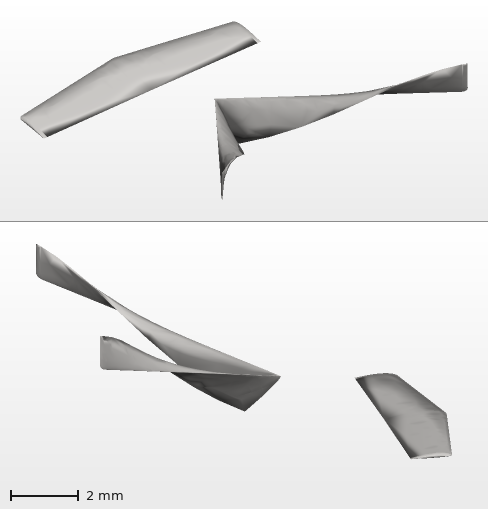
import cadquery as cq
import math

THICKNESS = 0.11
THICKNESS_PEAK = 0.38
CAMBER = 0.02
CAMBER_PEAK = 0.4
SURFACE_STEPS = 12

CAP_STEPS = 5
CAP_END_THICKNESS = 0.2
CAP_NOSE_INSET = 0.14
CAP_WIDTH = 0.13

FRONT_HALF_SPAN = 4.01
FRONT_ROOT_NOSE = (0.0, -0.01)
FRONT_TIP_NOSE = (0.69, -0.01)
FRONT_ROOT_CHORD = 1.9
FRONT_TIP_CHORD = 1.25
FRONT_PITCH = -1.3
FRONT_STEPS = 1

REAR_HALF_SPAN = 4.53
REAR_ROOT_NOSE = (5.02, 1.49)
REAR_TIP_NOSE = (11.45, 3.56)
REAR_ROOT_CHORD = 1.5
REAR_TIP_CHORD = 1.04
REAR_ROOT_PITCH = -43.5
REAR_TIP_PITCH = 90.0
REAR_STEPS = 10


def blend(start, end, fraction):
    return start + (end - start) * fraction


def camber_height(x):
    """Mean line of two parabolas that meet at the camber peak."""
    if x < CAMBER_PEAK:
        return CAMBER * (2 * CAMBER_PEAK * x - x**2) / CAMBER_PEAK**2
    rear_length = 1 - CAMBER_PEAK
    return CAMBER * (1 - 2 * CAMBER_PEAK + 2 * CAMBER_PEAK * x - x**2) / rear_length**2


def half_thickness(x):
    """Round-nosed profile, thickest at the peak station, with a sharp trailing edge."""
    nose_power = THICKNESS_PEAK / (1 - THICKNESS_PEAK)
    peak_value = THICKNESS_PEAK**nose_power * (1 - THICKNESS_PEAK)
    return THICKNESS / 2 * x**nose_power * (1 - x) / peak_value


def airfoil_wire(y, nose, chord, pitch, fullness=1.0, nose_inset=0.0):
    """Airfoil in a plane of constant y, turned about its nose by the pitch angle."""
    angle = math.radians(pitch)
    length = chord - nose_inset

    def point(x, side):
        along = nose_inset + x * length
        height = length * (camber_height(x) + side * fullness * half_thickness(x))
        return cq.Vector(
            nose[0] + along * math.cos(angle) - height * math.sin(angle),
            y,
            nose[1] + along * math.sin(angle) + height * math.cos(angle),
        )

    stations = [(1 - math.cos(math.pi * i / SURFACE_STEPS)) / 2 for i in range(SURFACE_STEPS + 1)]
    upper = [point(x, 1) for x in reversed(stations)]
    lower = [point(x, -1) for x in stations]
    outline = cq.Edge.makeSpline(upper + lower[1:-1] + upper[:1])
    return cq.Wire.assembleEdges([outline])


def half_wing(half_span, noses, chords, pitches, steps):
    """Wing from the middle to the +Y tip, closed by a rounded cap."""
    cap_start = 1 - CAP_WIDTH / half_span

    def section(fraction, **cap_shape):
        nose = [blend(root, tip, fraction) for root, tip in zip(*noses)]
        chord = blend(*chords, fraction)
        pitch = blend(*pitches, fraction)
        return airfoil_wire(half_span * fraction, nose, chord, pitch, **cap_shape)

    def cap_section(step):
        angle = math.pi / 2 * step / CAP_STEPS
        roundness = math.cos(angle)
        return section(
            blend(cap_start, 1, math.sin(angle)),
            fullness=blend(CAP_END_THICKNESS, 1, roundness),
            nose_inset=CAP_NOSE_INSET * (1 - roundness),
        )

    span_sections = [section(cap_start * i / steps) for i in range(steps + 1)]
    cap_sections = [cap_section(i) for i in range(CAP_STEPS + 1)]
    panel = cq.Solid.makeLoft(span_sections)
    cap = cq.Solid.makeLoft(cap_sections)
    return cq.Workplane(panel).union(cq.Workplane(cap))


def whole_wing(half):
    return half.union(half.mirror("XZ"))


front_wing = whole_wing(half_wing(
    FRONT_HALF_SPAN,
    (FRONT_ROOT_NOSE, FRONT_TIP_NOSE),
    (FRONT_ROOT_CHORD, FRONT_TIP_CHORD),
    (FRONT_PITCH, FRONT_PITCH),
    FRONT_STEPS,
))

rear_wing = whole_wing(half_wing(
    REAR_HALF_SPAN,
    (REAR_ROOT_NOSE, REAR_TIP_NOSE),
    (REAR_ROOT_CHORD, REAR_TIP_CHORD),
    (REAR_ROOT_PITCH, REAR_TIP_PITCH),
    REAR_STEPS,
))

result = cq.Compound.makeCompound([front_wing.val(), rear_wing.val()])